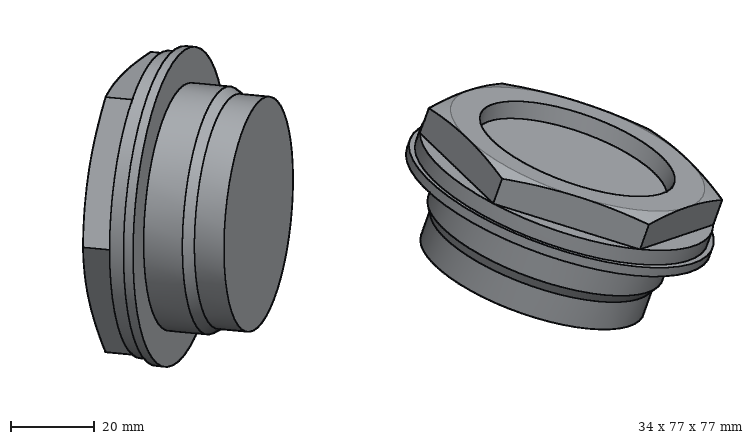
import cadquery as cq
import math

hex_length = 8.1
collar_length = 3.9
flange_length = 2.4
body_length = 9.7
taper_length = 2.55
overall_length = 34.0

collar_diameter = 74.0
flange_diameter = 76.95
body_diameter = 59.65
tail_diameter = 56.6

hex_corners = collar_diameter
hex_flats = hex_corners * math.cos(math.pi / 6)
corner_chamfer_depth = 1.4

recess_mouth_diameter = 49.25
recess_floor_diameter = 48.0
recess_depth = 4.3

collar_start = hex_length
flange_start = collar_start + collar_length
body_start = flange_start + flange_length
taper_start = body_start + body_length
tail_start = taper_start + taper_length


def revolve_about_x(points):
    """Revolve a closed outline of (x, radius) points about the X axis."""
    return cq.Workplane("XY").polyline(points).close().revolve(360, (0, 0, 0), (1, 0, 0))


def hexagon_head():
    """Hexagon with corners on the Y axis and conically chamfered outer corners."""
    prism = cq.Workplane("YZ").polygon(6, hex_corners).extrude(hex_length)
    chamfer_envelope = revolve_about_x([
        (0, 0),
        (0, hex_flats / 2),
        (corner_chamfer_depth, hex_corners / 2),
        (hex_length, hex_corners / 2),
        (hex_length, 0),
    ])
    return prism.intersect(chamfer_envelope)


def turned_body():
    """Collar, flange and stepped spigot behind the hexagon."""
    return revolve_about_x([
        (collar_start, 0),
        (collar_start, collar_diameter / 2),
        (flange_start, collar_diameter / 2),
        (flange_start, flange_diameter / 2),
        (body_start, flange_diameter / 2),
        (body_start, body_diameter / 2),
        (taper_start, body_diameter / 2),
        (tail_start, tail_diameter / 2),
        (overall_length, tail_diameter / 2),
        (overall_length, 0),
    ])


def face_recess():
    """Round recess in the hexagon face, narrowing towards its floor."""
    return revolve_about_x([
        (0, 0),
        (0, recess_mouth_diameter / 2),
        (recess_depth, recess_floor_diameter / 2),
        (recess_depth, 0),
    ])


result = hexagon_head().union(turned_body()).cut(face_recess())